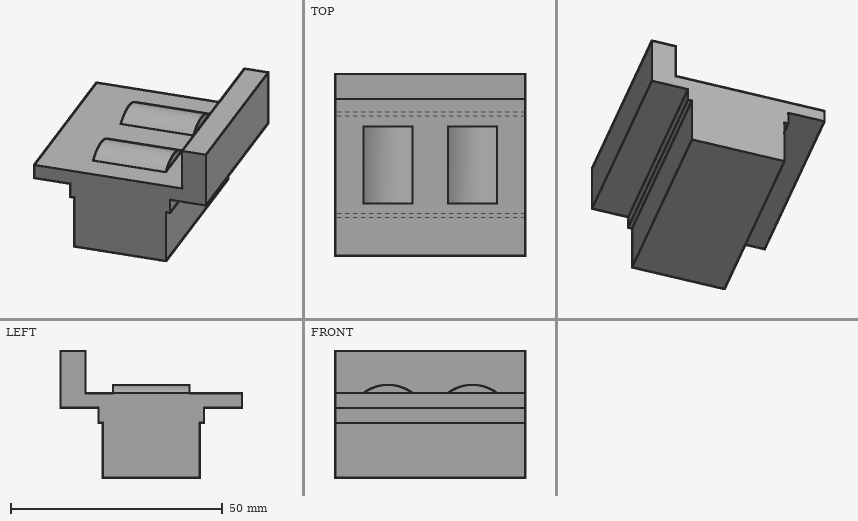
import cadquery as cq

width = 45.0
depth = 43.0
plate_thickness = 3.5

wall_thickness = 6.0
wall_rise = 10.0

collar_front = 9.0
collar_depth = 25.0
collar_height = 3.5
block_inset = 1.0
block_height = 13.0

pad_spacing = 20.0
pad_chord = 11.6
pad_rise = 2.0
pad_front = 12.4
pad_length = 18.2

collar_bottom = block_height
plate_bottom = collar_bottom + collar_height
plate_top = plate_bottom + plate_thickness
wall_top = plate_top + wall_rise
wall_front = depth - wall_thickness
collar_back = collar_front + collar_depth
block_front = collar_front + block_inset
block_back = collar_back - block_inset


def make_body():
    """Constant side profile extruded across the full width."""
    profile = [
        (block_front, 0),
        (block_back, 0),
        (block_back, collar_bottom),
        (collar_back, collar_bottom),
        (collar_back, plate_bottom),
        (depth, plate_bottom),
        (depth, wall_top),
        (wall_front, wall_top),
        (wall_front, plate_top),
        (0, plate_top),
        (0, plate_bottom),
        (collar_front, plate_bottom),
        (collar_front, collar_bottom),
        (block_front, collar_bottom),
    ]
    return cq.Workplane("YZ").polyline(profile).close().extrude(width)


def make_pad(center_x):
    """Circular-segment pad running front to back, seated on the plate."""
    half_chord = pad_chord / 2
    return (
        cq.Workplane("XZ", origin=(center_x, pad_front, plate_top))
        .moveTo(-half_chord, 0)
        .threePointArc((0, pad_rise), (half_chord, 0))
        .close()
        .extrude(-pad_length)
    )


result = make_body()
for side in (-1, 1):
    result = result.union(make_pad(width / 2 + side * pad_spacing / 2))